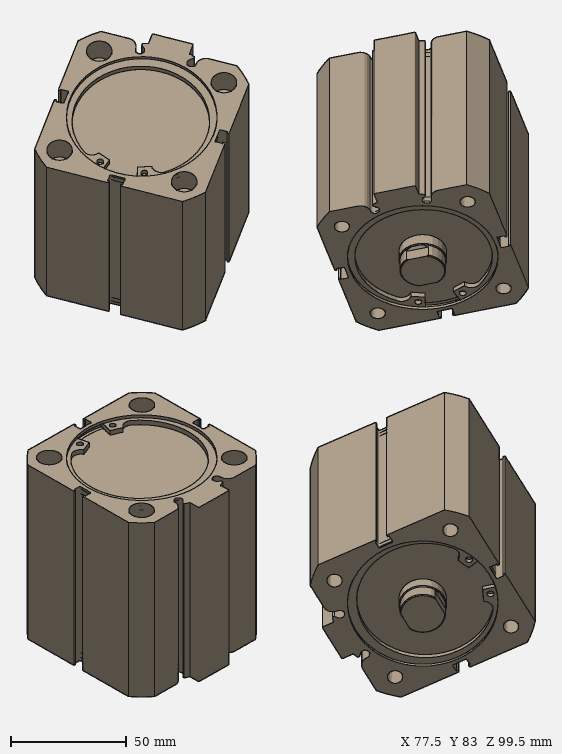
import cadquery as cq
import math


body_width = 77.5
body_height = 91.5
corner_radius = 49.5
bore_radius = 32.5
half_width = body_width / 2

screw_pitch = 56.5
screw_hole_diameter = 6.6
counterbore_diameter = 11.0
counterbore_depth = 12.0

slot_depth = 4.5
slot_half_width = 3.4
mouth_half_width = 2.6
lip_thickness = 1.0
lip_bevel = 0.1
slot_floor_fillet = 0.4

rail_height = 5.5
rail_half_width = 9.3
rail_edge_fillet = 0.5
rail_ear_half_width = 11.8
rail_ear_drop = 0.9
rail_ear_thickness = 0.9
rail_groove_x = 11.7
rail_groove_y = 34.2
rail_groove_radius = 2.0
shoulder_radius = 4.5

groove_radius = 34.0
ring_thickness = 2.4
ring_recess = 1.5
ring_inner_radius = 29.7
ring_eccentricity = 1.3
ring_end_angle = 13.9
lug_fillet_angle = 38.0
lug_tip_radius = 26.5
lug_heel_x = 12.0
lug_heel_y = -23.4
lug_hole_x = 10.0
lug_hole_y = -27.8
lug_hole_diameter = 2.9
ring_bottoms = (ring_recess, body_height - ring_recess - ring_thickness)

cover_thickness = 16.0
cover_inset = ring_recess + ring_thickness
head_cover_bottom = body_height - cover_inset - cover_thickness
piston_thickness = 15.0
rod_radius = 9.85
rod_chamfer = 0.4
collar_radius = 10.25
collar_projection = 1.7
collar_chamfer = collar_radius - rod_radius
rod_projection = 8.0
flat_half_width = 8.5
flat_length = 5.2


def point_from_gap(angle, radius):
    """Point at the given angle from -Y, on the +X side."""
    a = math.radians(angle)
    return radius * math.sin(a), -radius * math.cos(a)


def sensor_slot(turn):
    """T-shaped sensor slot in the -Y side, turned about Z."""
    face = -half_width
    lip_back = face + lip_thickness
    floor = face + slot_depth
    cavity = (
        cq.Workplane("XY")
        .center(0, (lip_back + floor) / 2)
        .rect(2 * slot_half_width, floor - lip_back)
        .extrude(body_height)
        .edges("|Z and >Y")
        .fillet(slot_floor_fillet)
    )
    mouth = (
        cq.Workplane("XY")
        .moveTo(-slot_half_width, face)
        .lineTo(slot_half_width, face)
        .lineTo(mouth_half_width, face + lip_bevel)
        .lineTo(mouth_half_width, lip_back)
        .lineTo(-mouth_half_width, lip_back)
        .lineTo(-mouth_half_width, face + lip_bevel)
        .close()
        .extrude(body_height)
    )
    return cavity.union(mouth).rotate((0, 0, 0), (0, 0, 1), turn)


def rail_recess():
    """Undercut groove on the -X side of the rail, open to the +Y face."""
    outer_wall = -rail_groove_x - rail_groove_radius
    ear_top = half_width - rail_ear_drop
    ear_bottom = ear_top - rail_ear_thickness
    diagonal = rail_groove_radius * math.sqrt(0.5)
    return (
        cq.Workplane("XY")
        .moveTo(-rail_half_width, half_width)
        .lineTo(-rail_ear_half_width, ear_top)
        .lineTo(-rail_ear_half_width, ear_bottom)
        .lineTo(-rail_groove_x + diagonal, rail_groove_y + diagonal)
        .threePointArc((-rail_groove_x, rail_groove_y - rail_groove_radius), (outer_wall, rail_groove_y))
        .lineTo(outer_wall, half_width - shoulder_radius)
        .radiusArc((outer_wall - shoulder_radius, half_width), -shoulder_radius)
        .close()
        .extrude(body_height)
    )


def make_housing():
    block = (
        cq.Workplane("XY")
        .rect(body_width, body_width)
        .extrude(body_height)
        .intersect(cq.Workplane("XY").circle(corner_radius).extrude(body_height))
    )
    rail = (
        cq.Workplane("XY")
        .center(0, half_width)
        .rect(2 * rail_half_width, 2 * rail_height)
        .extrude(body_height)
        .edges("|Z and >Y")
        .fillet(rail_edge_fillet)
    )
    body = block.union(rail)

    recess = rail_recess()
    body = body.cut(recess).cut(recess.mirror("YZ"))
    for turn in (-90, 0, 90):
        body = body.cut(sensor_slot(turn))

    body = body.cut(cq.Workplane("XY").circle(bore_radius).extrude(body_height))
    for bottom in ring_bottoms:
        groove = cq.Workplane("XY").workplane(offset=bottom).circle(groove_radius).extrude(ring_thickness)
        body = body.cut(groove)

    return (
        body.faces(">Z")
        .workplane(origin=(0, 0, body_height))
        .rect(screw_pitch, screw_pitch, forConstruction=True)
        .vertices()
        .cboreHole(screw_hole_diameter, counterbore_diameter, counterbore_depth)
    )


def make_ring(bottom):
    """Retaining ring with an eccentric inner edge and two lugs beside the gap at -Y."""
    end_x, end_y = point_from_gap(ring_end_angle, groove_radius)
    tip_x, tip_y = point_from_gap(ring_end_angle, lug_tip_radius)
    leave_x, leave_y = point_from_gap(lug_fillet_angle, ring_inner_radius)
    leave_y -= ring_eccentricity
    inner_top = ring_inner_radius - ring_eccentricity

    lean = math.radians(lug_fillet_angle)
    normal_x = -math.sin(lean)
    normal_y = math.cos(lean)
    gap_x = lug_heel_x - leave_x
    gap_y = lug_heel_y - leave_y
    fillet_radius = (gap_x**2 + gap_y**2) / (2 * (gap_x * normal_x + gap_y * normal_y))

    return (
        cq.Workplane("XY")
        .workplane(offset=bottom)
        .moveTo(end_x, end_y)
        .threePointArc((0, groove_radius), (-end_x, end_y))
        .lineTo(-tip_x, tip_y)
        .lineTo(-lug_heel_x, lug_heel_y)
        .radiusArc((-leave_x, leave_y), fillet_radius)
        .threePointArc((0, inner_top), (leave_x, leave_y))
        .radiusArc((lug_heel_x, lug_heel_y), fillet_radius)
        .lineTo(tip_x, tip_y)
        .close()
        .extrude(ring_thickness)
        .cut(
            cq.Workplane("XY")
            .workplane(offset=bottom)
            .pushPoints([(-lug_hole_x, lug_hole_y), (lug_hole_x, lug_hole_y)])
            .circle(lug_hole_diameter / 2)
            .extrude(ring_thickness)
        )
    )


def make_head_cover():
    return cq.Workplane("XY").workplane(offset=head_cover_bottom).circle(bore_radius).extrude(cover_thickness)


def make_rod_cover():
    return (
        cq.Workplane("XY")
        .workplane(offset=cover_inset)
        .circle(bore_radius)
        .circle(collar_radius)
        .extrude(cover_thickness)
    )


def wrench_flat():
    """Cutter for the flat on the -Y side, with a 45 degree run-out at its upper end."""
    tip = -rod_projection
    shoulder = tip + flat_length
    run_out = collar_radius - flat_half_width
    return (
        cq.Workplane("YZ")
        .moveTo(-flat_half_width, tip)
        .lineTo(-flat_half_width, shoulder)
        .lineTo(-flat_half_width - run_out, shoulder + run_out)
        .lineTo(-flat_half_width - run_out, tip)
        .close()
        .extrude(collar_radius, both=True)
    )


def make_piston_rod():
    piston_bottom = head_cover_bottom - piston_thickness
    tip = (
        cq.Workplane("XY")
        .workplane(offset=-rod_projection)
        .circle(rod_radius)
        .extrude(rod_projection)
        .faces("<Z")
        .chamfer(rod_chamfer)
    )
    flat = wrench_flat()
    tip = tip.cut(flat).cut(flat.mirror("XZ"))
    shank = (
        cq.Workplane("XY")
        .workplane(offset=-collar_projection)
        .circle(collar_radius)
        .extrude(piston_bottom + collar_projection)
        .faces("<Z")
        .chamfer(collar_chamfer)
    )
    piston = cq.Workplane("XY").workplane(offset=piston_bottom).circle(bore_radius).extrude(piston_thickness)
    return tip.union(shank).union(piston)


housing = make_housing()
head_cover = make_head_cover()
rod_cover = make_rod_cover()
piston_rod = make_piston_rod()
rings = [make_ring(bottom) for bottom in ring_bottoms]

result = cq.Compound.makeCompound(
    [
        housing.val(),
        head_cover.val(),
        rod_cover.val(),
        piston_rod.val(),
        *[ring.val() for ring in rings],
    ]
)